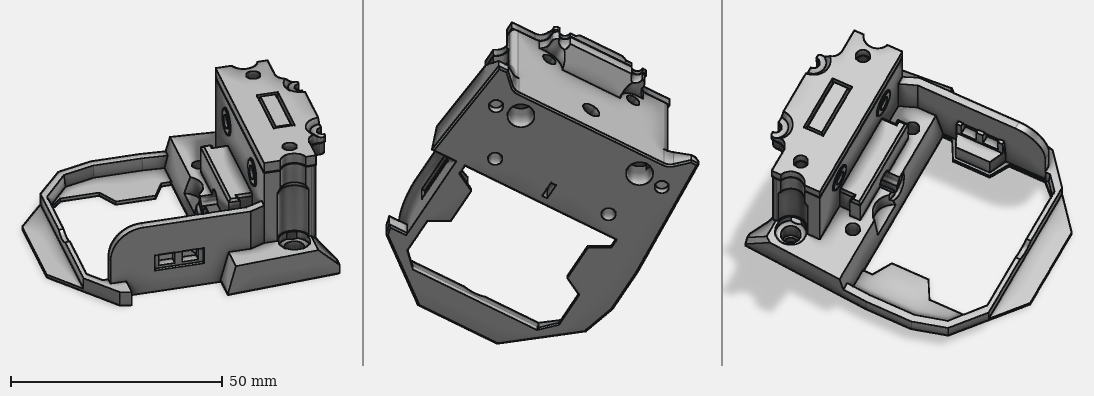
import cadquery as cq
import math

ALL = 200.0

base_height = 8.05
base_rear_y = 33.37
base_front_y = 5.1
base_front_top_y = 7.28
base_right_x = 29.68
base_rear_left_x, base_rear_right_x = -27.15, 27.57
rear_ear_x = 25.04
rear_slope_top_y = 28.0
rear_fillet = 3.0
corner_bevel = 1.05
bottom_chamfer = 0.45

ring_height = 4.15
ring_left_x = -29.68
ring_bend_y = -12.0
ring_corner_x, ring_corner_y = 27.28, -20.65
ring_front_y = -34.08
ring_end_x, ring_end_y = 28.0, -17.88
lip_y = -27.3
lip_height = 1.2
lip_x = 10.85
flange_height = 0.95
rim_draft = 7.0
opening_x = 20.73
opening_corner_y = -21.95
opening_front_x, opening_front_y = 16.95, -25.8
rim_width = 1.98
rim_corner_x, rim_corner_y = 25.6, -19.7
rim_front_x, rim_front_y = 17.5, -26.1
rim_wall_y = -23.1

block_x = 21.55
block_front_y = 16.4
block_rear_y = 29.4
block_rear_fillet = 1.4
block_top = 27.72
cap_gap = 0.24
cap_bottom = block_top + cap_gap
cap_top = 30.6
cap_rear_y = 29.2
lug_x = 12.58
lug_rear_y = 34.08
lug_fillet = 2.7
cap_tip_fillet = 0.6
block_tip_fillet = 1.65
lug_bottom = 24.6

screw_d = 3.4
lug_hole_x = 9.88
lug_hole_d = 2.9
lug_seat_z = 29.4
lug_seat_d = 6.0
lug_seat_top_d = 8.1
cap_hole_x, cap_hole_y = 16.2, 24.18
head_d = 6.4
head_z = 8.3
base_hole_x, base_hole_y = 15.5, 10.7
front_hole_x, front_hole_z = 11.45, 21.75
front_boss_d = 6.8
front_boss_top_d = 6.3
front_boss_height = 0.3

seat_x, seat_y = 22.65, 23.55
seat_d = 7.5
seat_z = 6.5
insert_d = 4.7
insert_z = 2.0
groove_bottom = 8.45
groove_d = 8.1
groove_cone_z = 21.15
groove_neck_z = 22.5
groove_neck_d = 6.7

key_x = 7.53
key_front_y, key_rear_y = 22.63, 27.83
key_top = 30.5
key_inset = 0.75

rail_top = 15.5
rail_neck_x = 11.25
rail_head_x = 12.5
rail_head_y = 13.0
rail_front_y = 10.26
rail_chamfer = 0.6

cable_z = 8.27
cable_d = 4.4
cable_recess_d = 8.2
rim_notch_d = 10.0
slot_x = 0.68
slot_rear_y = 11.5
finger_x, finger_y = -7.08, 4.24
finger_d = 9.8
finger_z = 3.2

wall_in_x, wall_out_x = 21.12, 23.14
wall_front_y = -21.75
wall_top = 18.6
wall_corner = 8.0
wall_bend_in_y, wall_bend_out_y = 12.1, 12.7
wall_end_in_x = 19.4

tab_y = -4.78
tab_tip_x = 15.92
tab_tip_half = 4.87
tab_root_half = 7.6
clip_tip_x = 16.67
clip_tip_half = 4.55
clip_root_half = 6.8
clip_height = 5.95
frame_x = 20.2
frame_top = 10.2
frame_top_half = 6.1
window_bottom, window_top = 6.7, 9.8
window_in, window_out = 0.92, 4.85
window_recess = 0.85


def prism(points, bottom, top):
    """Vertical prism over an outline in X and Y."""
    return cq.Workplane("XY").workplane(offset=bottom).polyline(points).close().extrude(top - bottom)


def side_prism(points, x_start, x_end):
    """Prism along X over an outline in Y and Z."""
    return cq.Workplane("YZ").workplane(offset=x_start).polyline(points).close().extrude(x_end - x_start)


def block_between(x0, x1, y0, y1, z0, z1):
    """Box given by its limits along X, Y and Z."""
    return cq.Workplane("XY").box(x1 - x0, y1 - y0, z1 - z0, centered=False).translate((x0, y0, z0))


def post(x, y, diameter, bottom, top):
    """Vertical cylinder."""
    return cq.Workplane("XY").workplane(offset=bottom).center(x, y).circle(diameter / 2).extrude(top - bottom)


def cone(x, y, bottom_d, top_d, bottom, top):
    """Vertical cone frustum."""
    return cq.Workplane(cq.Solid.makeCone(
        bottom_d / 2, top_d / 2, top - bottom, pnt=cq.Vector(x, y, bottom)))


def bore(x, z, diameter, y_start, y_end):
    """Cylinder along +Y."""
    return cq.Workplane(cq.Solid.makeCylinder(
        diameter / 2, y_end - y_start, cq.Vector(x, y_start, z), cq.Vector(0, 1, 0)))


def left_edge_x(y):
    """The straight left edge that the base and the ring share."""
    return ring_left_x + (base_rear_left_x - ring_left_x) * y / base_rear_y


def make_base():
    notch_x = rear_ear_x - (base_rear_y - block_rear_y)
    outline = [
        (left_edge_x(base_front_y), base_front_y),
        (base_right_x, base_front_y),
        (base_rear_right_x, base_rear_y),
        (rear_ear_x, base_rear_y),
        (notch_x, block_rear_y),
        (-notch_x, block_rear_y),
        (-rear_ear_x, base_rear_y),
        (base_rear_left_x, base_rear_y),
    ]
    plate = prism(outline, 0, base_height)
    for x in (-notch_x, notch_x):
        plate = plate.edges(cq.NearestToPointSelector((x, block_rear_y, base_height / 2))).fillet(rear_fillet)
    rear_slope_foot_z = base_height - (base_rear_y - rear_slope_top_y)
    profile = [
        (base_front_y, 0),
        (base_rear_y, 0),
        (base_rear_y, rear_slope_foot_z),
        (rear_slope_top_y, base_height),
        (base_front_top_y, base_height),
    ]
    plate = plate.intersect(side_prism(profile, -ALL, ALL))
    plate = plate.faces("<Z").edges().chamfer(bottom_chamfer)
    slope_middle = (
        base_rear_left_x,
        (base_rear_y + rear_slope_top_y) / 2,
        (base_height + rear_slope_foot_z) / 2,
    )
    return plate.edges(cq.NearestToPointSelector(slope_middle)).chamfer(corner_bevel)


def tab_outline(tip_x, tip_half, root_x, root_half):
    """Trapezoid that narrows from its root towards its tip."""
    return [
        (root_x, tab_y - root_half),
        (tip_x, tab_y - tip_half),
        (tip_x, tab_y + tip_half),
        (root_x, tab_y + root_half),
    ]


def make_ring():
    inside_y = base_front_top_y
    wall_middle_x = (wall_in_x + wall_out_x) / 2
    outer = [
        (ring_left_x, 0.0),
        (ring_left_x, ring_bend_y),
        (-ring_corner_x, ring_corner_y),
        (-lip_x, ring_front_y),
        (lip_x, ring_front_y),
        (ring_corner_x, ring_corner_y),
        (ring_end_x, ring_end_y),
        (wall_middle_x, ring_end_y),
        (wall_middle_x, inside_y),
        (left_edge_x(inside_y), inside_y),
    ]
    rim_inside = [
        (left_edge_x(inside_y) + rim_width, inside_y),
        (ring_left_x + rim_width, 0.0),
        (ring_left_x + rim_width, ring_bend_y),
        (-rim_corner_x, rim_corner_y),
        (-rim_front_x, rim_front_y),
        (rim_front_x, rim_front_y),
        (wall_in_x, rim_wall_y),
        (wall_in_x, inside_y),
    ]
    opening = [
        (-opening_x, inside_y),
        (-opening_x, opening_corner_y),
        (-opening_front_x, opening_front_y),
        (opening_front_x, opening_front_y),
        (opening_x, opening_corner_y),
        (opening_x, inside_y),
    ]
    ring = prism(outer, 0, ring_height).faces("<Z").edges().chamfer(bottom_chamfer)
    ring = ring.cut(block_between(-ALL, ALL, -ALL, lip_y, lip_height, ALL))
    ring = ring.cut(
        cq.Workplane("XY").workplane(offset=ring_height).polyline(rim_inside).close()
        .extrude(flange_height - ring_height, taper=rim_draft))
    ring = ring.cut(block_between(0, wall_in_x, opening_corner_y, inside_y, flange_height, ALL))
    ring = ring.cut(prism(opening, -1, ALL))
    for side in (-1, 1):
        tab = tab_outline(side * tab_tip_x, tab_tip_half, side * opening_x, tab_root_half)
        ring = ring.union(prism(tab, 0, flange_height))
    return ring.cut(bore(0, cable_z, rim_notch_d, lip_y - 1, opening_front_y + 1))


def make_wall():
    plan = [
        (wall_in_x, wall_front_y),
        (wall_out_x, wall_front_y),
        (wall_out_x, wall_bend_out_y),
        (block_x, block_front_y),
        (wall_end_in_x, block_front_y),
        (wall_in_x, wall_bend_in_y),
    ]
    wall = prism(plan, 0, wall_top)
    return wall.edges("|X and >Z and <Y").fillet(wall_corner)


def make_clip():
    root_x = (wall_in_x + wall_out_x) / 2 - window_recess / 2
    body = prism(tab_outline(clip_tip_x, clip_tip_half, root_x, clip_root_half), 0, frame_top)
    flanks = [
        (tab_y - clip_root_half, 0),
        (tab_y + clip_root_half, 0),
        (tab_y + frame_top_half, frame_top),
        (tab_y - frame_top_half, frame_top),
    ]
    body = body.intersect(side_prism(flanks, clip_tip_x, root_x))
    return body.cut(block_between(0, frame_x, -ALL, ALL, clip_height, ALL))


def cut_windows(body):
    for side in (-1, 1):
        y0, y1 = sorted((tab_y + side * window_in, tab_y + side * window_out))
        body = body.cut(block_between(frame_x, wall_out_x + 1, y0, y1, window_bottom, window_top))
        body = body.cut(block_between(frame_x, wall_in_x, y0, y1, window_bottom, frame_top))
    recess = block_between(
        wall_out_x - window_recess, ALL,
        tab_y - frame_top_half, tab_y + frame_top_half,
        clip_height, frame_top)
    return body.cut(recess)


def lug_outline():
    """Rear lug whose sides flare into the rear face through concave quarter arcs."""
    arc_x = lug_x + lug_fillet
    arc_y = cap_rear_y + lug_fillet
    middle = lug_fillet * math.sqrt(0.5)
    return (
        cq.Workplane("XY")
        .moveTo(-arc_x, block_front_y)
        .lineTo(arc_x, block_front_y)
        .lineTo(arc_x, cap_rear_y)
        .threePointArc((arc_x - middle, arc_y - middle), (lug_x, arc_y))
        .lineTo(lug_x, lug_rear_y)
        .lineTo(-lug_x, lug_rear_y)
        .lineTo(-lug_x, arc_y)
        .threePointArc((middle - arc_x, arc_y - middle), (-arc_x, cap_rear_y))
        .close()
    )


def make_lug(bottom, top, tip_fillet):
    lug = lug_outline().extrude(top - bottom).translate((0, 0, bottom))
    return lug.edges("|Z and >Y").fillet(tip_fillet)


def make_block():
    block_foot_z = base_height - (block_rear_y - rear_slope_top_y)
    block = block_between(-block_x, block_x, block_front_y, block_rear_y, 0, block_top)
    block = block.edges("|Z and >Y").fillet(block_rear_fillet)
    block = block.cut(block_between(-ALL, ALL, rear_slope_top_y, ALL, 0, block_foot_z))
    lug_profile = [
        (block_front_y, block_top),
        (lug_rear_y, block_top),
        (lug_rear_y, lug_bottom),
        (block_front_y, lug_bottom - (lug_rear_y - block_front_y)),
    ]
    root_x = lug_x + lug_fillet
    under_radius = lug_rear_y - block_rear_y
    under_x = lug_x - under_radius
    under_z = lug_bottom - under_radius
    middle = under_radius * math.sqrt(0.5)
    lug_front = (
        cq.Workplane("XZ")
        .moveTo(-root_x, block_top)
        .lineTo(-root_x, lug_bottom)
        .lineTo(-lug_x, lug_bottom)
        .threePointArc((middle - lug_x, under_z + middle), (-under_x, under_z))
        .lineTo(-under_x, 0)
        .lineTo(under_x, 0)
        .lineTo(under_x, under_z)
        .threePointArc((lug_x - middle, under_z + middle), (lug_x, lug_bottom))
        .lineTo(root_x, lug_bottom)
        .lineTo(root_x, block_top)
        .close()
    )
    lug = make_lug(0, block_top, block_tip_fillet)
    lug = lug.intersect(side_prism(lug_profile, -ALL, ALL))
    lug = lug.intersect(lug_front.extrude(-ALL))
    block = block.union(lug)
    for side in (-1, 1):
        x = side * front_hole_x
        boss = cq.Workplane(cq.Solid.makeCone(
            front_boss_d / 2, front_boss_top_d / 2, front_boss_height,
            cq.Vector(x, block_front_y, front_hole_z), cq.Vector(0, -1, 0)))
        block = block.union(boss)
    return block


def make_key():
    width = 2 * key_x
    depth = key_rear_y - key_front_y
    middle_y = (key_rear_y + key_front_y) / 2
    return (
        cq.Workplane("XY").workplane(offset=block_top).center(0, middle_y).rect(width, depth)
        .workplane(offset=key_top - block_top).rect(width - 2 * key_inset, depth - 2 * key_inset)
        .loft()
    )


def make_rail():
    plan = [
        (-rail_neck_x, block_front_y),
        (-rail_neck_x, rail_head_y),
        (-rail_head_x, rail_head_y),
        (-rail_head_x, rail_front_y),
        (rail_head_x, rail_front_y),
        (rail_head_x, rail_head_y),
        (rail_neck_x, rail_head_y),
        (rail_neck_x, block_front_y),
    ]
    return prism(plan, base_height, rail_top).faces(">Z").edges("not >Y").chamfer(rail_chamfer)


def seat_cuts():
    cuts = []
    for side in (-1, 1):
        x = side * seat_x
        cuts += [
            post(x, seat_y, screw_d, -1, seat_z),
            post(x, seat_y, insert_d, insert_z, seat_z),
            post(x, seat_y, seat_d, seat_z, groove_bottom),
            post(x, seat_y, groove_d, groove_bottom, groove_cone_z),
            cone(x, seat_y, groove_d, groove_neck_d, groove_cone_z, groove_neck_z),
            post(x, seat_y, groove_neck_d, groove_neck_z, cap_top + 1),
        ]
    return cuts


def vertical_holes():
    cuts = []
    for side in (-1, 1):
        cuts += [
            post(side * lug_hole_x, lug_rear_y, lug_hole_d, -1, cap_top + 1),
            post(side * cap_hole_x, cap_hole_y, screw_d, -1, cap_top + 1),
        ]
    return cuts


frame = make_base().union(make_ring()).union(make_wall()).union(make_clip())
frame = cut_windows(frame)
frame = frame.union(make_block()).union(make_key()).union(make_rail())
for cutter in seat_cuts() + vertical_holes():
    frame = frame.cut(cutter)
for side in (-1, 1):
    frame = frame.cut(post(side * cap_hole_x, cap_hole_y, head_d, -1, head_z))
    frame = frame.cut(post(side * base_hole_x, base_hole_y, screw_d, -1, base_height + 1))
    frame = frame.cut(bore(side * front_hole_x, front_hole_z, screw_d, 0, ALL))
frame = frame.cut(bore(0, cable_z, cable_d, 0, ALL))
frame = frame.cut(bore(0, cable_z, cable_recess_d, 0, base_front_top_y))
frame = frame.cut(block_between(-slot_x, slot_x, base_front_top_y, slot_rear_y, -1, cable_z))
frame = frame.cut(post(finger_x, finger_y, finger_d, finger_z, base_height + 1))

cap = block_between(-block_x, block_x, block_front_y, cap_rear_y, cap_bottom, cap_top)
cap = cap.union(make_lug(cap_bottom, cap_top, cap_tip_fillet))
cap = cap.cut(block_between(-key_x, key_x, key_front_y, key_rear_y, 0, ALL))
for cutter in seat_cuts() + vertical_holes():
    cap = cap.cut(cutter)
for side in (-1, 1):
    cap = cap.cut(cone(side * lug_hole_x, lug_rear_y, lug_seat_d, lug_seat_top_d, lug_seat_z, cap_top))

result = cq.Compound.makeCompound([*frame.vals(), *cap.vals()])